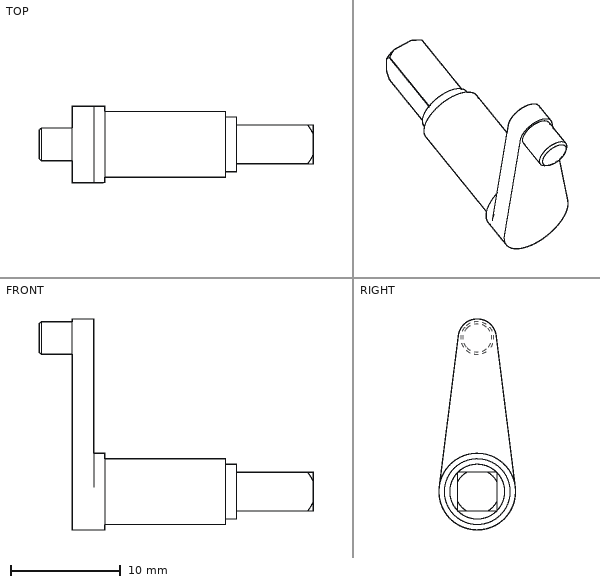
import cadquery as cq
import math

pin_diameter = 3.0
pin_length = 3.0
pin_chamfer = 0.2

arm_thickness = 2.0
arm_rise = 14.0
arm_tip_radius = 1.75

hub_diameter = 7.0
hub_thickness = 3.0
body_diameter = 6.0
body_length = 11.0
collar_diameter = 5.0
collar_length = 1.0

square_side = 3.58
square_length = 7.0
square_end_chamfer = 0.5

arm_start = pin_length
hub_end = arm_start + hub_thickness
body_end = hub_end + body_length
collar_end = body_end + collar_length
shaft_end = collar_end + square_length


def cylinder(start, end, diameter, height=0.0):
    """Cylinder along X whose axis lies at the given Z height."""
    plane = cq.Workplane("YZ", origin=(start, 0, height))
    return plane.circle(diameter / 2).extrude(end - start)


def make_arm():
    """Tapered arm whose flanks are tangent to the hub and the tip arc.

    It ends at the chord between the hub tangent points, inside the hub.
    """
    hub_radius = hub_diameter / 2
    flank_sine = (hub_radius - arm_tip_radius) / arm_rise
    flank_cosine = math.sqrt(1 - flank_sine**2)
    hub_y = hub_radius * flank_cosine
    hub_z = hub_radius * flank_sine
    tip_y = arm_tip_radius * flank_cosine
    tip_z = arm_rise + arm_tip_radius * flank_sine
    return (
        cq.Workplane("YZ", origin=(arm_start, 0, 0))
        .moveTo(-hub_y, hub_z)
        .lineTo(-tip_y, tip_z)
        .threePointArc((0, arm_rise + arm_tip_radius), (tip_y, tip_z))
        .lineTo(hub_y, hub_z)
        .close()
        .extrude(arm_thickness)
    )


def make_pin():
    """Crank pin with a chamfered free end."""
    pin = cylinder(0, arm_start, pin_diameter, arm_rise)
    return pin.faces("<X").chamfer(pin_chamfer)


def make_square_end():
    """Square drive with corners trimmed by the chamfered collar cylinder."""
    square = (
        cq.Workplane("YZ", origin=(collar_end, 0, 0))
        .rect(square_side, square_side)
        .extrude(square_length)
    )
    envelope = cylinder(collar_end, shaft_end, collar_diameter)
    envelope = envelope.faces(">X").chamfer(square_end_chamfer)
    return square.intersect(envelope)


result = (
    make_arm()
    .union(cylinder(arm_start, hub_end, hub_diameter))
    .union(cylinder(hub_end, body_end, body_diameter))
    .union(cylinder(body_end, collar_end, collar_diameter))
    .union(make_square_end())
    .union(make_pin())
)